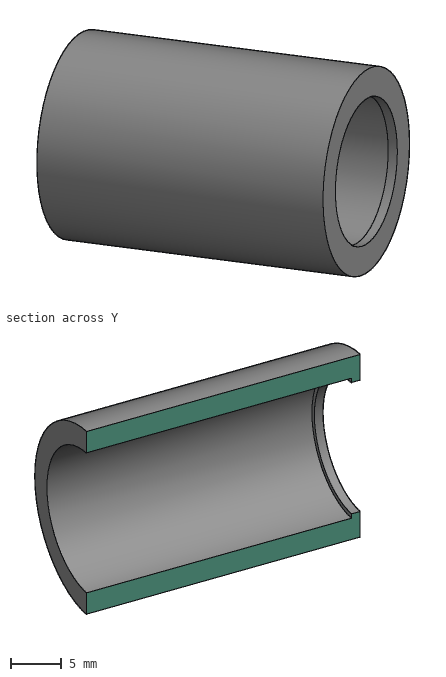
import cadquery as cq

length = 31.0
outer_diameter = 21.0
entry_bore_diameter = 16.0
through_bore_diameter = 15.0
lip_thickness = 1.0
entry_bore_depth = length - lip_thickness

sleeve = (
    cq.Workplane("YZ")
    .circle(outer_diameter / 2)
    .circle(through_bore_diameter / 2)
    .extrude(length)
)

entry_bore = cq.Workplane("YZ").circle(entry_bore_diameter / 2).extrude(entry_bore_depth)

result = sleeve.cut(entry_bore).translate((-length / 2, 0, 0))